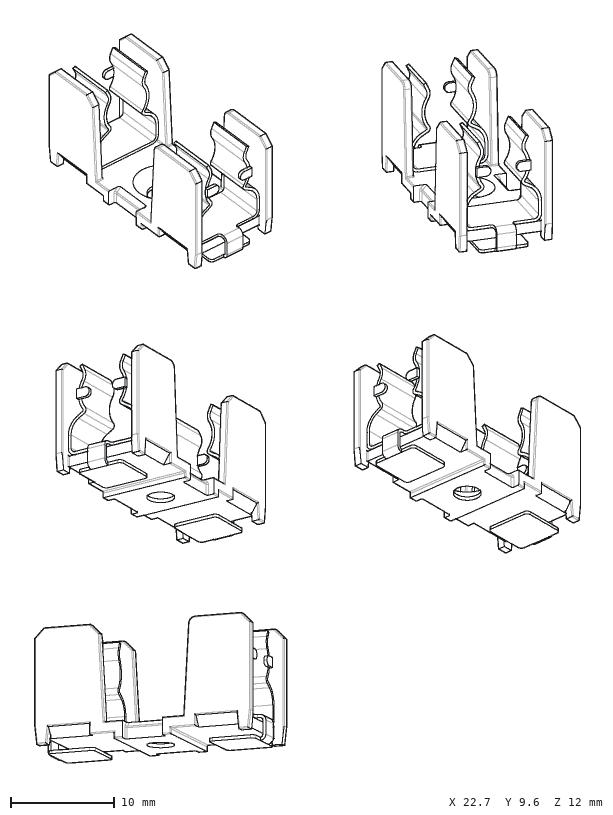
import cadquery as cq
import math

LENGTH = 22.7
WIDTH = 9.6
HEIGHT = 12.0

BODY_HALF = 11.25
PLATE_T = 0.82
PLATE_Y = WIDTH / 2
INNER_Y = PLATE_Y - PLATE_T
EDGE_R = 0.11
FLOOR_TOP = 2.27
FLOOR_BOTTOM = 1.15
FLOOR_HALF = 10.17
FLOOR_END_R = 0.1
FOOT_Z = 0.55
FOOT_HALF = 2.97
STEP_R = 0.14
CORNER_CHAMFER = 0.98
CORNER_R = 0.73
GAP_LEFT_BOTTOM = -4.0
GAP_LEFT_TOP = -4.5
GAP_RIGHT_BOTTOM = 4.27
GAP_RIGHT_TOP = 4.81
GAP_R = 0.11

RECESS_TOP = 2.22
LEG_OUTER_TIP = 11.05
LEG_TAPER_TOP = 2.34
LEG_INNER_TIP = 10.0
RECESS_OUTER = 9.83
RECESS_INNER = 5.55

HOLE_D = 2.7
SINK_D = 5.38
NOTCH_HALF = 2.09
NOTCH_R = 0.18
NOTCH_BEVEL = 0.52
NOTCH_BLEND_R = 0.23

SHEET = 0.32
CLIP_OUTER_X = 10.22
CLIP_INNER_X = 5.22
CLIP_LENGTH = CLIP_OUTER_X - CLIP_INNER_X
LEG_Y = INNER_Y - SHEET / 2
BASE_BEND_R = 0.61
SHOULDER_R = 1.93
SHOULDER_SLOPE = 30
FUSE_Z = 8.42
GRIP_R = 2.65
PINCH_ANGLE = 36
PINCH_R = 0.27
MOUTH_ANGLE = 31
MOUTH_R = 1.14
LIP_SLOPE = 65
LIP_Z = 11.46

EAR_T = 0.35
EAR_OUTER_Y = 2.8
EAR_INNER_Y = 1.35
EAR_HEIGHT = 1.0
EAR_R = 0.48

HOOK_WIDTH = 2.0
HOOK_ROOT_R = 0.27
HOOK_BEND_R = 0.6 - SHEET / 2
PAD_OUTER_X = 10.78
PAD_INNER_X = 5.97
PAD_WIDTH = 5.05
PAD_R = 0.43


def polar(center, radius, degrees):
    """Point at the given radius and angle around a center."""
    angle = math.radians(degrees)
    return (center[0] + radius * math.cos(angle), center[1] + radius * math.sin(angle))


def both_ends(shape):
    return shape.union(shape.mirror("YZ"))


def both_sides(shape):
    return shape.union(shape.mirror("XZ"))


def side_plate():
    """Plate on the -Y side with two uprights, legs, recesses and rounded edges."""
    lower_half = [
        (FOOT_HALF, FOOT_Z),
        (FOOT_HALF, FLOOR_BOTTOM),
        (RECESS_INNER, FLOOR_BOTTOM),
        (RECESS_INNER, RECESS_TOP),
        (RECESS_OUTER, RECESS_TOP),
        (LEG_INNER_TIP, FOOT_Z),
        (LEG_OUTER_TIP, FOOT_Z),
        (BODY_HALF, LEG_TAPER_TOP),
        (BODY_HALF, HEIGHT - CORNER_CHAMFER),
        (BODY_HALF - CORNER_CHAMFER, HEIGHT),
    ]
    gap = [
        (GAP_RIGHT_TOP, HEIGHT),
        (GAP_RIGHT_BOTTOM, FLOOR_TOP),
        (GAP_LEFT_BOTTOM, FLOOR_TOP),
        (GAP_LEFT_TOP, HEIGHT - CORNER_CHAMFER),
        (GAP_LEFT_TOP - CORNER_CHAMFER, HEIGHT),
    ]
    mirrored = [(-x, z) for x, z in reversed(lower_half)]
    plate = (
        cq.Workplane("XZ", origin=(0, -INNER_Y, 0))
        .polyline(lower_half + gap + mirrored)
        .close()
        .extrude(PLATE_T)
    )
    rounded_corner = cq.selectors.NearestToPointSelector((GAP_RIGHT_TOP, PLATE_T / 2 - PLATE_Y, HEIGHT))
    plate = plate.edges(rounded_corner).fillet(CORNER_R)
    plate = plate.faces("<Y").edges().fillet(EDGE_R)
    upright_box = cq.selectors.BoxSelector(
        (-LENGTH, -INNER_Y - EDGE_R / 2, FLOOR_TOP + EDGE_R),
        (LENGTH, -INNER_Y + EDGE_R / 2, LENGTH),
    )
    return plate.edges(upright_box).fillet(EDGE_R)


def recess_slope():
    """Wedge behind one recess, sloping from the plate's outer face in to the floor."""
    return (
        cq.Workplane("YZ", origin=(RECESS_INNER, 0, 0))
        .polyline([
            (-INNER_Y, FLOOR_BOTTOM),
            (-PLATE_Y + EDGE_R, RECESS_TOP),
            (-INNER_Y, RECESS_TOP),
        ])
        .close()
        .extrude(RECESS_OUTER - RECESS_INNER)
    )


def floor():
    """Floor slab with the thicker foot under its middle."""
    outline = [
        (-FLOOR_HALF, FLOOR_TOP),
        (-FLOOR_HALF, FLOOR_BOTTOM),
        (-FOOT_HALF, FLOOR_BOTTOM),
        (-FOOT_HALF, FOOT_Z),
        (FOOT_HALF, FOOT_Z),
        (FOOT_HALF, FLOOR_BOTTOM),
        (FLOOR_HALF, FLOOR_BOTTOM),
        (FLOOR_HALF, FLOOR_TOP),
    ]
    return cq.Workplane("XZ").polyline(outline).close().extrude(INNER_Y, both=True)


def notch():
    """Cutter for one side notch, with a bevel that leads down to it from the floor."""
    slope_start = FLOOR_TOP - NOTCH_BEVEL
    cutter = (
        cq.Workplane("YZ")
        .polyline([
            (-WIDTH, 0),
            (-INNER_Y, 0),
            (-INNER_Y, slope_start),
            (-INNER_Y + HEIGHT - slope_start, HEIGHT),
            (-WIDTH, HEIGHT),
        ])
        .close()
        .extrude(NOTCH_HALF, both=True)
    )
    slope_foot = cq.selectors.NearestToPointSelector((0, -INNER_Y, slope_start))
    cutter = cutter.edges(slope_foot).fillet(NOTCH_BLEND_R)
    for side in (-1, 1):
        inner_corner = cq.selectors.NearestToPointSelector((side * NOTCH_HALF, -INNER_Y, slope_start / 2))
        cutter = cutter.edges(inner_corner).fillet(NOTCH_R)
    return cutter


def body():
    plates = both_sides(side_plate().union(both_ends(recess_slope())))
    block = floor().union(plates)
    for gap_x in (GAP_LEFT_BOTTOM, GAP_RIGHT_BOTTOM):
        for plate_y in (-INNER_Y - PLATE_T / 2, INNER_Y + PLATE_T / 2):
            gap_corner = cq.selectors.NearestToPointSelector((gap_x, plate_y, FLOOR_TOP))
            block = block.edges(gap_corner).fillet(GAP_R)
    for side in (-1, 1):
        step = cq.selectors.NearestToPointSelector((side * FOOT_HALF, 0, FLOOR_BOTTOM))
        block = block.edges(step).fillet(STEP_R)
        for plate_y in (-INNER_Y, INNER_Y):
            end_corner = cq.selectors.NearestToPointSelector(
                (side * FLOOR_HALF, plate_y, (FLOOR_TOP + FLOOR_BOTTOM) / 2)
            )
            block = block.edges(end_corner).fillet(FLOOR_END_R)
    screw_hole = cq.Workplane("XY", origin=(0, 0, FLOOR_TOP)).circle(HOLE_D / 2).extrude(-FLOOR_TOP)
    sink_depth = (SINK_D - HOLE_D) / 2
    countersink = cq.Workplane(cq.Solid.makeCone(
        HOLE_D / 2, SINK_D / 2, sink_depth, pnt=cq.Vector(0, 0, FLOOR_TOP - sink_depth)
    ))
    return block.cut(both_sides(notch())).cut(screw_hole).cut(countersink)


def clip_half():
    """Half of the +X clip: base, leg, shoulder and grip, bent from one strip."""
    base_z = FLOOR_TOP + SHEET / 2
    axis = (0, FUSE_Z)
    pinch = polar(axis, GRIP_R + PINCH_R, -PINCH_ANGLE)
    mouth = polar(axis, GRIP_R + MOUTH_R, MOUTH_ANGLE)

    flank_end = polar(pinch, PINCH_R, 270 - SHOULDER_SLOPE)
    shoulder_y = LEG_Y - SHOULDER_R
    flank_start_y = polar((shoulder_y, 0), SHOULDER_R, 90 - SHOULDER_SLOPE)[0]
    flank_rise = (flank_start_y - flank_end[0]) * math.tan(math.radians(SHOULDER_SLOPE))
    flank_start = (flank_start_y, flank_end[1] - flank_rise)
    shoulder = (shoulder_y, flank_start[1] - SHOULDER_R * math.cos(math.radians(SHOULDER_SLOPE)))

    pinch_middle = 180 + (90 - SHOULDER_SLOPE - PINCH_ANGLE) / 2
    lip_start_angle = 90 + LIP_SLOPE
    mouth_middle = (180 + MOUTH_ANGLE + lip_start_angle) / 2
    lip_start = polar(mouth, MOUTH_R, lip_start_angle)
    lip_y = lip_start[0] + (LIP_Z - lip_start[1]) / math.tan(math.radians(LIP_SLOPE))

    path = (
        cq.Workplane("YZ", origin=(CLIP_INNER_X + CLIP_LENGTH / 2, 0, 0))
        .moveTo(0, base_z)
        .lineTo(LEG_Y - BASE_BEND_R, base_z)
        .tangentArcPoint((LEG_Y, base_z + BASE_BEND_R), relative=False)
        .lineTo(LEG_Y, shoulder[1])
        .threePointArc(polar(shoulder, SHOULDER_R, (90 - SHOULDER_SLOPE) / 2), flank_start)
        .lineTo(*flank_end)
        .threePointArc(polar(pinch, PINCH_R, pinch_middle), polar(axis, GRIP_R, -PINCH_ANGLE))
        .threePointArc(polar(axis, GRIP_R, 0), polar(axis, GRIP_R, MOUTH_ANGLE))
        .threePointArc(polar(mouth, MOUTH_R, mouth_middle), lip_start)
        .lineTo(lip_y, LIP_Z)
    )
    return (
        cq.Workplane("XZ", origin=(CLIP_INNER_X + CLIP_LENGTH / 2, 0, base_z))
        .rect(CLIP_LENGTH, SHEET)
        .sweep(path)
    )


def ear():
    """Round-nosed stop ear on the +Y side of the clip's outer end."""
    return (
        cq.Workplane("XY")
        .box(EAR_T, EAR_OUTER_Y - EAR_INNER_Y, EAR_HEIGHT)
        .edges("|X and <Y")
        .fillet(EAR_R)
        .translate((CLIP_OUTER_X + EAR_T / 2, (EAR_OUTER_Y + EAR_INNER_Y) / 2, FUSE_Z))
    )


def hook():
    """Tongue from the clip base, bent down and back under, with its flat pad."""
    top_z = FLOOR_TOP + SHEET / 2
    pad_z = SHEET / 2
    end_x = LENGTH / 2 - SHEET / 2
    path = (
        cq.Workplane("XZ")
        .moveTo(CLIP_OUTER_X, top_z)
        .lineTo(end_x - HOOK_BEND_R, top_z)
        .tangentArcPoint((end_x, top_z - HOOK_BEND_R), relative=False)
        .lineTo(end_x, pad_z + HOOK_BEND_R)
        .tangentArcPoint((end_x - HOOK_BEND_R, pad_z), relative=False)
        .lineTo(CLIP_OUTER_X, pad_z)
    )
    tongue = (
        cq.Workplane("YZ", origin=(CLIP_OUTER_X, 0, top_z))
        .rect(HOOK_WIDTH, SHEET)
        .sweep(path)
    )
    pad = (
        cq.Workplane("XY")
        .box(PAD_OUTER_X - PAD_INNER_X, PAD_WIDTH, SHEET)
        .edges("|Z")
        .fillet(PAD_R)
        .translate(((PAD_OUTER_X + PAD_INNER_X) / 2, 0, pad_z))
    )
    return tongue.union(pad)


def clip():
    strip = both_sides(clip_half()).union(hook())
    root = cq.selectors.BoxSelector(
        (CLIP_OUTER_X - SHEET / 4, -HOOK_WIDTH, FLOOR_TOP),
        (CLIP_OUTER_X + SHEET / 4, HOOK_WIDTH, FLOOR_TOP + SHEET),
    )
    strip = strip.edges(root).edges("|Z").fillet(HOOK_ROOT_R)
    return strip.union(both_sides(ear()))


result = body().union(both_ends(clip()))